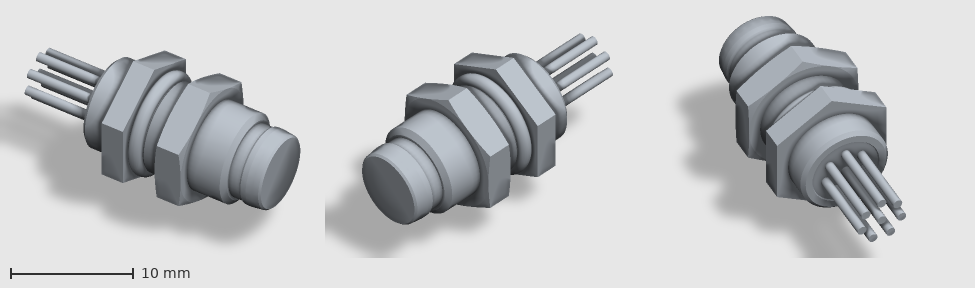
import cadquery as cq
import math

total_length = 23.0
body_start = 6.46
flange_start = 9.0
flange_end = 11.0
nut_start = 14.0
nut_end = 16.5
body_end = 19.99

body_radius = 8.0 / 2
rear_chamfer = 0.32
front_chamfer_length = 0.4
front_chamfer_depth = 0.5
neck_radius = 6.5 / 2

collar_start = 21.02
collar_crest_start = 21.2
collar_crest_end = 21.71
collar_taper_end = 22.82
collar_rear_radius = 6.8 / 2
collar_radius = 6.85 / 2
collar_taper_radius = 3.3
collar_end_radius = 3.13

seal_radius = 9.25 / 2
seal_width = 1.22
seal_round = 0.58
shoulder_start = 12.25
shoulder_chamfer = 0.12

across_flats = 10.0
across_corners = across_flats / math.cos(math.pi / 6)
nut_face_radius = across_flats / 2
nut_chamfer_angle = 15.0

recess_mouth_radius = 3.05
recess_floor_radius = 3.0
recess_depth = 0.12

wire_radius = 0.8 / 2
wire_circle_radius = 1.86
ring_wire_count = 7
wire_embed = 0.23


def cylinder(start, length, radius, y=0, z=0):
    """Cylinder along +X."""
    return cq.Workplane("YZ", origin=(start, y, z)).circle(radius).extrude(length)


def revolve_profile(points):
    """Turn (x, radius) points around the X axis."""
    return cq.Workplane("XY").polyline(points).close().revolve(360, (0, 0, 0), (1, 0, 0))


def hexagon(start, end):
    return (
        cq.Workplane("YZ", origin=(start, 0, 0))
        .polygon(6, across_corners)
        .extrude(end - start)
        .rotate((0, 0, 0), (1, 0, 0), 90)
    )


def make_body():
    return revolve_profile([
        (body_start, 0),
        (body_start, body_radius - rear_chamfer),
        (body_start + rear_chamfer, body_radius),
        (flange_end, body_radius),
        (flange_end, body_radius - shoulder_chamfer),
        (shoulder_start, body_radius - shoulder_chamfer),
        (shoulder_start + shoulder_chamfer, body_radius),
        (body_end - front_chamfer_length, body_radius),
        (body_end, body_radius - front_chamfer_depth),
        (body_end, neck_radius),
        (collar_start, neck_radius),
        (collar_crest_start, collar_rear_radius),
        (collar_crest_end, collar_radius),
        (collar_taper_end, collar_taper_radius),
        (total_length, collar_end_radius),
        (total_length, 0),
    ])


def make_seal():
    return cylinder(flange_end, seal_width, seal_radius).edges().fillet(seal_round)


def make_nut():
    """Hexagonal nut with both ends turned to a cone at the corners."""
    corner_rise = across_corners / 2 - nut_face_radius
    corner_setback = corner_rise * math.tan(math.radians(nut_chamfer_angle))
    cone = revolve_profile([
        (nut_start, 0),
        (nut_start, nut_face_radius),
        (nut_start + corner_setback, across_corners / 2),
        (nut_end - corner_setback, across_corners / 2),
        (nut_end, nut_face_radius),
        (nut_end, 0),
    ])
    return hexagon(nut_start, nut_end).intersect(cone)


def make_recess():
    return revolve_profile([
        (body_start, 0),
        (body_start, recess_mouth_radius),
        (body_start + recess_depth, recess_floor_radius),
        (body_start + recess_depth, 0),
    ])


def make_wires():
    length = body_start + recess_depth + wire_embed
    wires = cylinder(0, length, wire_radius)
    for i in range(ring_wire_count):
        angle = 2 * math.pi * i / ring_wire_count
        y = wire_circle_radius * math.sin(angle)
        z = wire_circle_radius * math.cos(angle)
        wires = wires.union(cylinder(0, length, wire_radius, y, z))
    return wires


result = (
    make_body()
    .cut(make_recess())
    .union(hexagon(flange_start, flange_end))
    .union(make_seal())
    .union(make_nut())
    .union(make_wires())
)